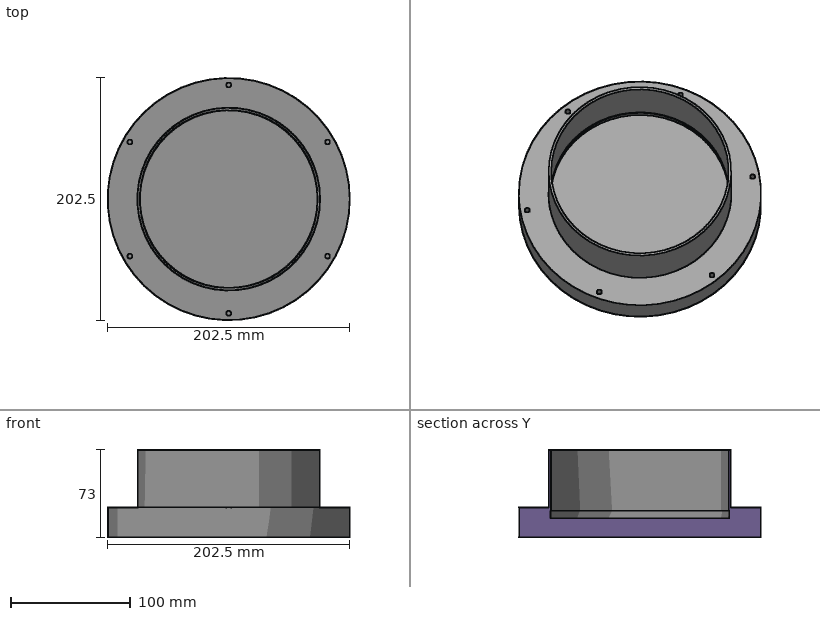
import cadquery as cq

flange_diameter = 202.5
base_thickness = 16.0
flange_thickness = 9.1
total_height = 73.0

tube_outer_diameter = 152.5
tube_inner_diameter = 148.2
socket_diameter = 152.8
socket_depth = 3.0
flange_bore_diameter = 149.2

screw_hole_diameter = 4.0
screw_circle_diameter = 190.7
screw_hole_count = 6
first_screw_angle = 90.0

flange_top = base_thickness + flange_thickness
ledge_height = flange_top - socket_depth


def disc(diameter, bottom, top):
    """Solid cylinder on the Z axis between two heights."""
    return cq.Workplane("XY").workplane(offset=bottom).circle(diameter / 2).extrude(top - bottom)


def flanged_base():
    """Base disc and flange ring, with the stepped bore and the blind screw holes."""
    body = disc(flange_diameter, 0, flange_top)
    body = body.cut(disc(flange_bore_diameter, base_thickness, flange_top))
    body = body.cut(disc(socket_diameter, ledge_height, flange_top))
    screw_holes = (
        cq.Workplane("XY")
        .workplane(offset=base_thickness)
        .polarArray(screw_circle_diameter / 2, first_screw_angle, 360, screw_hole_count)
        .circle(screw_hole_diameter / 2)
        .extrude(flange_thickness)
    )
    return body.cut(screw_holes)


def tube():
    """Thin-walled tube standing on the ledge of the socket."""
    outside = disc(tube_outer_diameter, ledge_height, total_height)
    return outside.cut(disc(tube_inner_diameter, ledge_height, total_height))


result = flanged_base().union(tube())